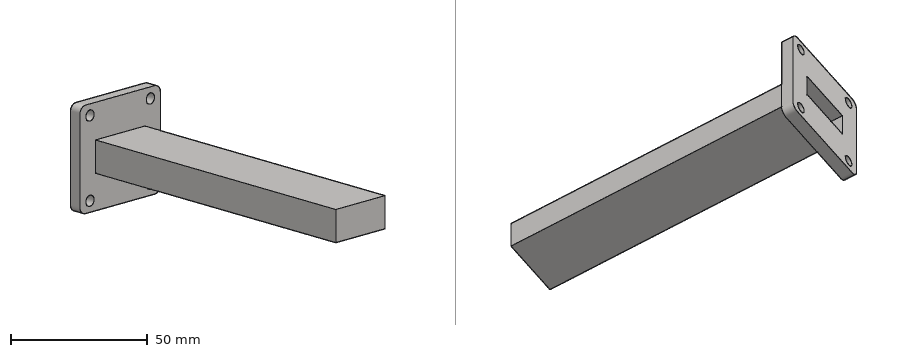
import cadquery as cq

total_length = 130.0
flange_size = 41.4
flange_thickness = 5.0
flange_corner_radius = 3.0
bolt_spacing_y = 31.0
bolt_spacing_z = 32.5
bolt_hole_diameter = 4.2
guide_width = 22.86
guide_height = 10.16
wall_thickness = 1.27

tube_width = guide_width + 2 * wall_thickness
tube_height = guide_height + 2 * wall_thickness
guide_depth = total_length - wall_thickness


def block_along_x(width, height, length):
    """Block centred on the X axis, running from X = 0 to X = length."""
    return cq.Workplane("YZ").rect(width, height).extrude(length)


def make_flange():
    """Square flange with rounded corners and four bolt holes."""
    plate = block_along_x(flange_size, flange_size, flange_thickness)
    plate = plate.edges("|X").fillet(flange_corner_radius)
    bolt_holes = (
        cq.Workplane("YZ")
        .rect(bolt_spacing_y, bolt_spacing_z, forConstruction=True)
        .vertices()
        .circle(bolt_hole_diameter / 2)
        .extrude(flange_thickness)
    )
    return plate.cut(bolt_holes)


tube = block_along_x(tube_width, tube_height, total_length)
guide = block_along_x(guide_width, guide_height, guide_depth)

result = make_flange().union(tube).cut(guide)